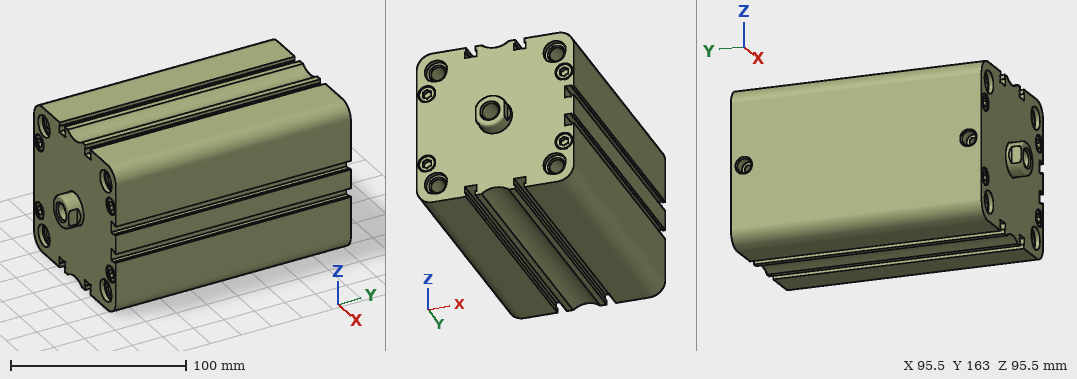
import math

import cadquery as cq

OVERALL_LENGTH = 163.0
ROD_LENGTH = 9.0
BODY_LENGTH = OVERALL_LENGTH - ROD_LENGTH
SIDE = 95.5
HALF = SIDE / 2
CORNER_RADIUS = 9.7

SLOT_OPENING = 5.7
SLOT_UNDERCUT = 7.1
SLOT_OFFSET_TOP = 14.9
SLOT_LIP_TOP = 2.6
SLOT_OFFSET_SIDE = 9.05
SLOT_LIP_SIDE = 1.7
SLOT_CAVITY = 3.8

GROOVE_HALF_WIDTH = 8.25
GROOVE_DEPTH = 2.85

MOUNT_OFFSET = 36.0
MOUNT_BORE = 8.57
MOUNT_CHAMFER_DIAMETER = 10.3
MOUNT_COUNTERBORE = 13.5
MOUNT_COUNTERBORE_DEPTH = 2.9

SCREW_X = 41.6
SCREW_Z = 22.3
SCREW_HEAD = 10.3
SCREW_HEAD_CHAMFER = 0.5
SCREW_HEAD_SINK = 0.4
SCREW_HEX = 5.0
SCREW_HEX_DEPTH = 3.0

PORT_INSET = 8.0
PORT_CHAMFER_DIAMETER = 10.3
PORT_BORE = 8.57
PORT_DEPTH = 8.0
PORT_PASSAGE = 5.0
PORT_PASSAGE_DEPTH = 14.0

ROD_DIAMETER = 20.0
ROD_CLEARANCE = 20.5
ROD_RING_DEPTH = 2.0
ROD_END_FILLET = 1.5
ROD_FLATS = 17.3
FLAT_START = 3.2
ROD_THREAD = 10.11
ROD_THREAD_CHAMFER = 12.0
ROD_THREAD_DEPTH = 20.0


def front_plane(y, x=0.0, z=0.0):
    """Workplane normal to +Y with local axes +X and -Z."""
    return cq.Workplane(cq.Plane(origin=(x, y, z), xDir=(1, 0, 0), normal=(0, 1, 0)))


def cylinder(diameter, length, y, x=0.0, z=0.0):
    """Cylinder along +Y starting at the given y."""
    return front_plane(y, x, z).circle(diameter / 2).extrude(length)


def chamfered_bore(large, small, depth):
    """Bore along +Z from the origin with a 45 degree entry chamfer."""
    chamfer = (large - small) / 2
    profile = [(0, 0), (large / 2, 0), (small / 2, chamfer), (small / 2, depth), (0, depth)]
    return cq.Workplane("XZ").polyline(profile).close().revolve(360, (0, 0, 0), (0, 1, 0))


def along_y(shape, x, y, z):
    """Turn a cutter pointing along +Z to point along +Y and place it."""
    return shape.rotate((0, 0, 0), (1, 0, 0), -90).translate((x, y, z))


def t_slot(offset, lip):
    """T-slot cutter through the top face, centred at X = offset, running the full length."""
    opening = front_plane(0, offset, HALF - lip / 2).rect(SLOT_OPENING, lip).extrude(BODY_LENGTH)
    cavity_z = HALF - lip - SLOT_CAVITY / 2
    cavity = front_plane(0, offset, cavity_z).rect(SLOT_UNDERCUT, SLOT_CAVITY).extrude(BODY_LENGTH)
    return opening.union(cavity)


def groove():
    """Full-length circular-arc groove in the top face."""
    return (
        cq.Workplane("XZ")
        .moveTo(-GROOVE_HALF_WIDTH, HALF)
        .threePointArc((0, HALF - GROOVE_DEPTH), (GROOVE_HALF_WIDTH, HALF))
        .close()
        .extrude(-BODY_LENGTH)
    )


def cut_profile(body):
    """Slots and grooves of the extruded section."""
    for angle in (0, 180):
        top_cut = groove()
        for side in (-1, 1):
            top_cut = top_cut.union(t_slot(side * SLOT_OFFSET_TOP, SLOT_LIP_TOP))
        body = body.cut(top_cut.rotate((0, 0, 0), (0, 1, 0), angle))
    for side in (-1, 1):
        side_cut = t_slot(side * SLOT_OFFSET_SIDE, SLOT_LIP_SIDE)
        body = body.cut(side_cut.rotate((0, 0, 0), (0, 1, 0), 90))
    return body


def cut_mounting_holes(body):
    """Four through holes, counterbored and chamfered at the front."""
    bore = chamfered_bore(MOUNT_CHAMFER_DIAMETER, MOUNT_BORE, BODY_LENGTH)
    for x in (-MOUNT_OFFSET, MOUNT_OFFSET):
        for z in (-MOUNT_OFFSET, MOUNT_OFFSET):
            body = body.cut(cylinder(MOUNT_COUNTERBORE, MOUNT_COUNTERBORE_DEPTH, 0, x, z))
            body = body.cut(along_y(bore, x, MOUNT_COUNTERBORE_DEPTH, z))
    return body


def cut_screws(body):
    """Recesses around the chamfered heads and hexagon sockets of the four cap screws."""
    head = cylinder(SCREW_HEAD, 2 * SCREW_HEAD_CHAMFER, SCREW_HEAD_SINK)
    head = head.faces("<Y").chamfer(SCREW_HEAD_CHAMFER)
    recess = cylinder(SCREW_HEAD, SCREW_HEAD_SINK + SCREW_HEAD_CHAMFER, 0).cut(head)
    hex_corners = SCREW_HEX / math.cos(math.pi / 6)
    for x in (-SCREW_X, SCREW_X):
        for z in (-SCREW_Z, SCREW_Z):
            socket = front_plane(0, x, z).transformed(rotate=(0, 0, 90)).polygon(6, hex_corners)
            body = body.cut(recess.translate((x, 0, z))).cut(socket.extrude(SCREW_HEX_DEPTH))
    return body


def cut_ports(body):
    """Stepped air ports entering along +X."""
    port = chamfered_bore(PORT_CHAMFER_DIAMETER, PORT_BORE, PORT_DEPTH)
    port = port.union(cq.Workplane("XY").circle(PORT_PASSAGE / 2).extrude(PORT_PASSAGE_DEPTH))
    port = port.rotate((0, 0, 0), (0, 1, 0), 90)
    for y in (PORT_INSET, BODY_LENGTH - PORT_INSET):
        body = body.cut(port.translate((-HALF, y, 0)))
    return body


def make_rod():
    """Rod end with a rounded tip, two spanner flats with 45 degree run-outs and a tapped hole."""
    rod = cylinder(ROD_DIAMETER, ROD_LENGTH + ROD_RING_DEPTH, -ROD_LENGTH)
    rod = rod.faces("<Y").edges().fillet(ROD_END_FILLET)
    flat_x = ROD_FLATS / 2
    radius = ROD_DIAMETER / 2
    runout_y = -FLAT_START + radius - flat_x
    flat_outline = [
        (flat_x, -ROD_LENGTH),
        (radius, -ROD_LENGTH),
        (radius, runout_y),
        (flat_x, -FLAT_START),
    ]
    flat = cq.Workplane("XY").polyline(flat_outline).close().extrude(radius, both=True)
    return rod.cut(flat).cut(flat.mirror("YZ"))


def make_body():
    """Barrel and both caps as one slotted section with rounded corners."""
    body = front_plane(0).rect(SIDE, SIDE).extrude(BODY_LENGTH).edges("|Y").fillet(CORNER_RADIUS)
    body = cut_profile(body)
    body = cut_mounting_holes(body)
    body = cut_screws(body)
    body = cut_ports(body)
    return body.cut(cylinder(ROD_CLEARANCE, ROD_RING_DEPTH, 0))


tapped_hole = chamfered_bore(ROD_THREAD_CHAMFER, ROD_THREAD, ROD_THREAD_DEPTH)
result = make_body().union(make_rod()).cut(along_y(tapped_hole, 0, -ROD_LENGTH, 0))